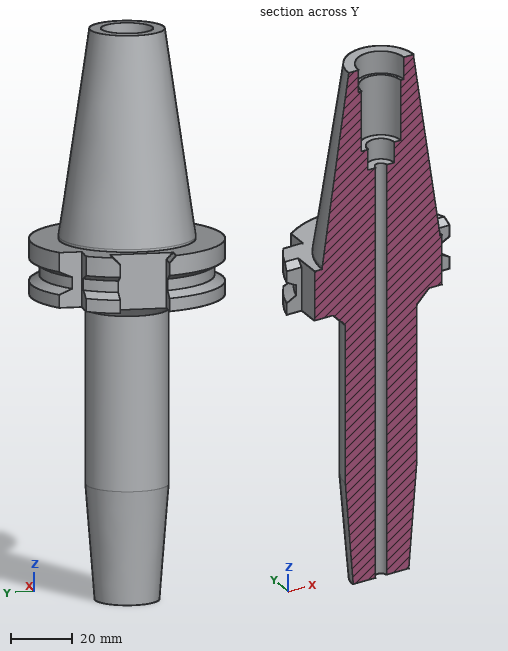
import cadquery as cq

TOTAL_LENGTH = 188.4
GAUGE_Z = 120.0
FLANGE_TOP_Z = 119.0
FLANGE_BOTTOM_Z = 100.8
SHANK_TOP_Z = 96.0
NOSE_TOP_Z = 38.2

FLANGE_RADIUS = 63.5 / 2
GAUGE_RADIUS = 22.2
COLLAR_RADIUS = 18.0
SHANK_RADIUS = 13.5
NOSE_RADIUS = 10.5
TAPER_PER_SIDE = 7 / 24 / 2
TAPER_TOP_RADIUS = GAUGE_RADIUS - TAPER_PER_SIDE * (TOTAL_LENGTH - GAUGE_Z)

GROOVE_Z = 108.9
GROOVE_MOUTH = 7.5
GROOVE_FLOOR = 3.8
GROOVE_DEPTH = 3.4

SLOT_WIDTH = 16.2
SLOT_FLOOR_LEFT = 25.0
SLOT_FLOOR_RIGHT = 23.0
SLOT_CHAMFER = 2.3
NOTCH_OFFSET = 18.5

BORE_STEPS = [(8.5, 8.1), (7.3, 30.1), (4.9, 37.7)]
THROUGH_RADIUS = 2.0

FLANGE_HEIGHT = FLANGE_TOP_Z - FLANGE_BOTTOM_Z


def revolved_body():
    """Taper, grooved flange, shank and nose as one solid of revolution."""
    groove_radius = FLANGE_RADIUS - GROOVE_DEPTH
    profile = [
        (0, 0),
        (NOSE_RADIUS, 0),
        (SHANK_RADIUS, NOSE_TOP_Z),
        (SHANK_RADIUS, SHANK_TOP_Z),
        (COLLAR_RADIUS, FLANGE_BOTTOM_Z),
        (FLANGE_RADIUS, FLANGE_BOTTOM_Z),
        (FLANGE_RADIUS, GROOVE_Z - GROOVE_MOUTH / 2),
        (groove_radius, GROOVE_Z - GROOVE_FLOOR / 2),
        (groove_radius, GROOVE_Z + GROOVE_FLOOR / 2),
        (FLANGE_RADIUS, GROOVE_Z + GROOVE_MOUTH / 2),
        (FLANGE_RADIUS, FLANGE_TOP_Z),
        (GAUGE_RADIUS, FLANGE_TOP_Z),
        (GAUGE_RADIUS, GAUGE_Z),
        (TAPER_TOP_RADIUS, TOTAL_LENGTH),
        (0, TOTAL_LENGTH),
    ]
    return cq.Workplane("XZ").polyline(profile).close().revolve(360, (0, 0), (0, 1))


def drive_slot(floor_distance, side):
    """Slot cutter on one side of the flange (side is -1 or +1 along X)."""
    half = SLOT_WIDTH / 2
    mouth_half = half + SLOT_CHAMFER
    chamfer_z = FLANGE_TOP_Z - SLOT_CHAMFER
    section = [
        (-half, FLANGE_BOTTOM_Z),
        (half, FLANGE_BOTTOM_Z),
        (half, chamfer_z),
        (mouth_half, FLANGE_TOP_Z),
        (-mouth_half, FLANGE_TOP_Z),
        (-half, chamfer_z),
    ]
    plane = cq.Workplane("YZ", origin=(side * floor_distance, 0, 0))
    return plane.polyline(section).close().extrude(side * FLANGE_RADIUS)


def orientation_notch():
    """Square corner cutter on the -X, +Y side of the flange."""
    return (
        cq.Workplane("XY", origin=(-NOTCH_OFFSET, NOTCH_OFFSET, FLANGE_BOTTOM_Z))
        .rect(-FLANGE_RADIUS, FLANGE_RADIUS, centered=False)
        .extrude(FLANGE_HEIGHT)
    )


def stepped_bore():
    """Coolant hole through the whole part, stepped wider toward the top."""
    bore = cq.Workplane("XY").circle(THROUGH_RADIUS).extrude(TOTAL_LENGTH)
    for radius, depth in BORE_STEPS:
        step = cq.Workplane("XY", origin=(0, 0, TOTAL_LENGTH - depth)).circle(radius).extrude(depth)
        bore = bore.union(step)
    return bore


result = (
    revolved_body()
    .cut(drive_slot(SLOT_FLOOR_LEFT, -1))
    .cut(drive_slot(SLOT_FLOOR_RIGHT, 1))
    .cut(orientation_notch())
    .cut(stepped_bore())
)